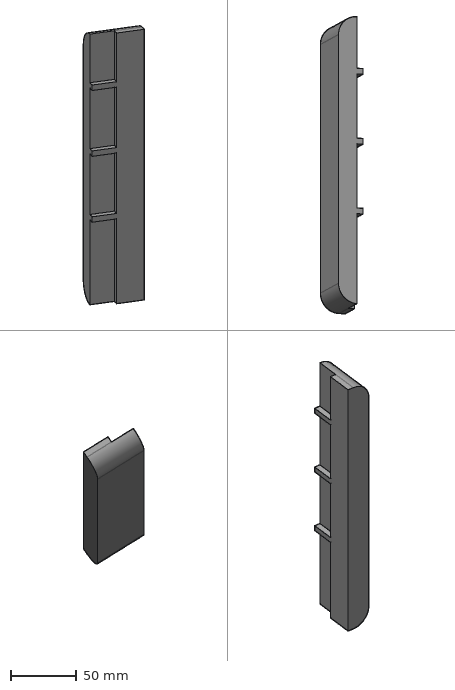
import cadquery as cq

depth_x = 20.0
width_y = 42.5
height_z = 224.0

body_thickness = 15.0
end_radius = body_thickness

raised_height = depth_x - body_thickness
rib_length = 20.0
rib_thickness = 4.5
rib_count = 3
bay_height = 50.0
top_bay_height = 40.25
rib_pitch = bay_height + rib_thickness


def make_body():
    """Slab whose top and bottom edges on the -X side are quarter circles."""
    profile = (
        cq.Workplane("XZ")
        .moveTo(body_thickness, 0)
        .radiusArc((0, end_radius), end_radius)
        .lineTo(0, height_z - end_radius)
        .radiusArc((body_thickness, height_z), end_radius)
        .close()
    )
    return profile.extrude(-width_y)


def make_raised_box(y_start, y_length, z_start, z_length):
    """Box standing on the +X face of the body."""
    box = cq.Workplane("XY").box(raised_height, y_length, z_length, centered=False)
    return box.translate((body_thickness, y_start, z_start))


def make_rear_block():
    """Full-height block behind the ribs."""
    return make_raised_box(rib_length, width_y - rib_length, 0, height_z)


def make_rib(index):
    """Rib running from the front face to the rear block, counted from the top."""
    rib_top = height_z - top_bay_height - index * rib_pitch
    return make_raised_box(0, rib_length, rib_top - rib_thickness, rib_thickness)


result = make_body().union(make_rear_block())
for rib_index in range(rib_count):
    result = result.union(make_rib(rib_index))